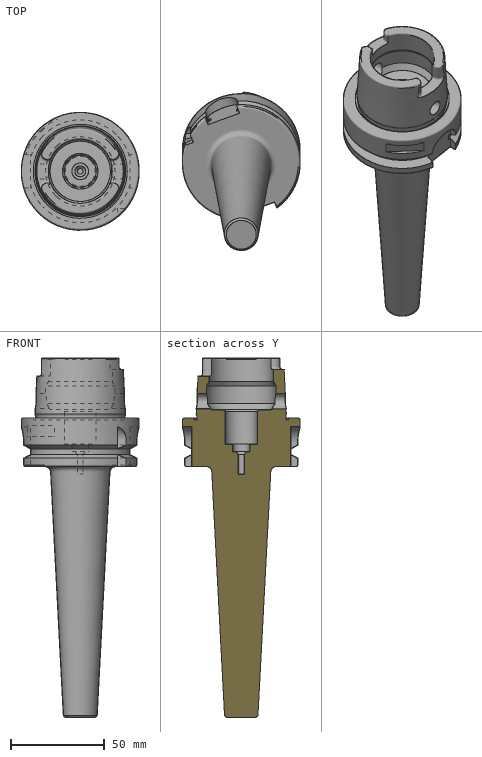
import cadquery as cq
import math


SHANK_LENGTH = 32.0
GAUGE_RADIUS = 24.005
GAUGE_HEIGHT = 6.3
TAPER_PER_MM = 1 / 19.96
SHANK_EDGE_RADIUS = 0.8
BLANK_RADIUS = 27.0
RELIEF_TOP = 2.1
RELIEF_STEP = 1.0
RELIEF_DEPTH = 0.3
FACE_GROOVE_RADIUS = 25.1
FACE_GROOVE_DEPTH = 1.0

FLANGE_RADIUS = 31.5
FLANGE_WIDTH = 26.0
FLANGE_EDGE_RADIUS = 1.0
GROOVE_CENTRE = -18.0
GROOVE_WIDTH = 7.0
GROOVE_FLANK_END_WIDTH = 3.4
GROOVE_ROOT_WIDTH = 2.9
GROOVE_ROOT_RADIUS = 27.5
GROOVE_FLANK_ANGLE = 30.0

TOTAL_LENGTH = 192.0
NOSE_TIP_RADIUS = 9.0
NOSE_ANGLE = 3.0
NOSE_ROOT_RADIUS = 3.0
NOSE_EDGE_CHAMFER = 1.0

BORE_RADIUS = 17.1
BORE_END = 19.4
UNDERCUT_RADIUS = 18.5
UNDERCUT_START = 17.0
UNDERCUT_END = 7.8
FLOOR_RADIUS = 16.1
FLOOR_HEIGHT = 4.5
THREAD_RADIUS = 8.5
THREAD_CHAMFER = 1.0
THREAD_END = -14.0
POCKET_RADIUS = 4.45
POCKET_END = -18.0
COOLANT_COUNTERSINK_RADIUS = 2.9
COOLANT_RADIUS = 1.5
COOLANT_END = -30.0

DRIVE_SLOT_WIDTH = 12.3
DRIVE_SLOT_DEPTHS = {-1: 9.7, 1: 6.0}
DRIVE_CORNER_RADIUS = 3.3
DRIVE_TANGENT_RADIUS = 23.12
DRIVE_FLOOR_RADIUS = 1.4
DRIVE_INNER_X = 8.0
DRIVE_OUTER_X = 30.0
DRIVE_TANGENT_RUN = 6.0

CROSS_HOLE_DIAMETER = 8.0
CROSS_HOLE_HEIGHT = 9.0

KEYWAY_WIDTH = 18.0
KEYWAY_TOP = -4.7
KEYWAY_FLOOR = 26.5
NOTCH_WIDTH = 16.0
NOTCH_WALL_Y = -19.8
NOTCH_TOP = -3.9
NOTCH_FLOOR = 20.0

FLAT_HEIGHT = 6.0
FLAT_CENTRE_Z = -6.9
FLAT_DISTANCE = 29.8
FLAT_DIRECTION = 135.0

JOINT_OVERLAP = 8.0
CLEARANCE = 5.0


def shank_radius(z):
    return GAUGE_RADIUS + (GAUGE_HEIGHT - z) * TAPER_PER_MM


def revolve_profile(profile):
    """Turn a closed (radius, height) outline about the Z axis."""
    return profile.close().revolve(360, (0, 0, 0), (0, 1, 0))


def make_shank_envelope():
    """Solid outside form of the shank, with its rim rounded."""
    relief_radius = shank_radius(RELIEF_TOP) - RELIEF_DEPTH
    envelope = revolve_profile(
        cq.Workplane("XZ")
        .moveTo(0, -JOINT_OVERLAP)
        .lineTo(relief_radius, -JOINT_OVERLAP)
        .lineTo(relief_radius, RELIEF_STEP)
        .lineTo(shank_radius(RELIEF_TOP), RELIEF_TOP)
        .lineTo(shank_radius(SHANK_LENGTH), SHANK_LENGTH)
        .lineTo(0, SHANK_LENGTH)
    )
    return envelope.faces(">Z").edges().fillet(SHANK_EDGE_RADIUS)


def make_shank():
    """Slots and bore are cut and rounded in an oversize blank, which is then turned to its outside form."""
    blank = (
        cq.Workplane("XY")
        .workplane(offset=-JOINT_OVERLAP)
        .circle(BLANK_RADIUS)
        .extrude(JOINT_OVERLAP + SHANK_LENGTH)
        .cut(make_bore())
    )
    for side, depth in DRIVE_SLOT_DEPTHS.items():
        blank = blank.cut(make_drive_slot(side, depth))
    blank = blank.faces(">Z").edges().fillet(SHANK_EDGE_RADIUS)
    return blank.intersect(make_shank_envelope())


def make_flange():
    disc = (
        cq.Workplane("XY")
        .circle(FLANGE_RADIUS)
        .extrude(-FLANGE_WIDTH)
        .edges()
        .fillet(FLANGE_EDGE_RADIUS)
    )
    face_groove = (
        cq.Workplane("XY")
        .circle(FACE_GROOVE_RADIUS)
        .extrude(-FACE_GROOVE_DEPTH)
    )
    return disc.cut(face_groove).cut(make_gripper_groove())


def make_gripper_groove():
    flank_depth = (GROOVE_WIDTH - GROOVE_FLANK_END_WIDTH) / 2 / math.tan(math.radians(GROOVE_FLANK_ANGLE))
    flank_end = FLANGE_RADIUS - flank_depth
    rim = FLANGE_RADIUS + CLEARANCE
    upper_root = GROOVE_CENTRE + GROOVE_ROOT_WIDTH / 2
    lower_root = GROOVE_CENTRE - GROOVE_ROOT_WIDTH / 2
    upper_flank = GROOVE_CENTRE + GROOVE_FLANK_END_WIDTH / 2
    lower_flank = GROOVE_CENTRE - GROOVE_FLANK_END_WIDTH / 2
    upper_rim = GROOVE_CENTRE + GROOVE_WIDTH / 2
    lower_rim = GROOVE_CENTRE - GROOVE_WIDTH / 2
    return revolve_profile(
        cq.Workplane("XZ")
        .moveTo(GROOVE_ROOT_RADIUS, upper_root)
        .lineTo(flank_end, upper_flank)
        .lineTo(FLANGE_RADIUS, upper_rim)
        .lineTo(rim, upper_rim)
        .lineTo(rim, lower_rim)
        .lineTo(FLANGE_RADIUS, lower_rim)
        .lineTo(flank_end, lower_flank)
        .lineTo(GROOVE_ROOT_RADIUS, lower_root)
    )


def make_nose():
    tip_z = SHANK_LENGTH - TOTAL_LENGTH
    fillet_end_z = -FLANGE_WIDTH - NOSE_ROOT_RADIUS
    slope = math.tan(math.radians(NOSE_ANGLE))
    root_radius = NOSE_TIP_RADIUS + (fillet_end_z - tip_z) * slope
    chamfer_radius = NOSE_TIP_RADIUS + NOSE_EDGE_CHAMFER * slope
    arc_shift = NOSE_ROOT_RADIUS * (1 - math.sqrt(0.5))
    return revolve_profile(
        cq.Workplane("XZ")
        .moveTo(0, tip_z)
        .lineTo(NOSE_TIP_RADIUS - NOSE_EDGE_CHAMFER, tip_z)
        .lineTo(chamfer_radius, tip_z + NOSE_EDGE_CHAMFER)
        .lineTo(root_radius, fillet_end_z)
        .threePointArc(
            (root_radius + arc_shift, -FLANGE_WIDTH - arc_shift),
            (root_radius + NOSE_ROOT_RADIUS, -FLANGE_WIDTH),
        )
        .lineTo(root_radius + NOSE_ROOT_RADIUS, -FLANGE_WIDTH + JOINT_OVERLAP)
        .lineTo(0, -FLANGE_WIDTH + JOINT_OVERLAP)
    )


def make_bore():
    countersink = COOLANT_COUNTERSINK_RADIUS - COOLANT_RADIUS
    return revolve_profile(
        cq.Workplane("XZ")
        .moveTo(0, SHANK_LENGTH)
        .lineTo(BORE_RADIUS, SHANK_LENGTH)
        .lineTo(BORE_RADIUS, BORE_END)
        .lineTo(UNDERCUT_RADIUS, UNDERCUT_START)
        .lineTo(UNDERCUT_RADIUS, UNDERCUT_END)
        .lineTo(FLOOR_RADIUS, FLOOR_HEIGHT)
        .lineTo(THREAD_RADIUS + THREAD_CHAMFER, FLOOR_HEIGHT)
        .lineTo(THREAD_RADIUS, FLOOR_HEIGHT - THREAD_CHAMFER)
        .lineTo(THREAD_RADIUS, THREAD_END)
        .lineTo(POCKET_RADIUS, THREAD_END)
        .lineTo(POCKET_RADIUS, POCKET_END)
        .lineTo(COOLANT_COUNTERSINK_RADIUS, POCKET_END)
        .lineTo(COOLANT_RADIUS, POCKET_END - countersink)
        .lineTo(COOLANT_RADIUS, COOLANT_END)
        .lineTo(0, COOLANT_END)
    )


def make_drive_slot(side, depth):
    """Rim slot along X whose walls roll outwards until they run along the shank surface."""
    half_width = DRIVE_SLOT_WIDTH / 2
    corner_y = half_width + DRIVE_CORNER_RADIUS
    corner_distance = DRIVE_TANGENT_RADIUS - DRIVE_CORNER_RADIUS
    corner_x = math.sqrt(corner_distance**2 - corner_y**2)
    end_angle = math.atan2(corner_y, corner_x)
    middle_angle = (end_angle - math.pi / 2) / 2

    def on_corner(angle):
        return (
            corner_x + DRIVE_CORNER_RADIUS * math.cos(angle),
            corner_y + DRIVE_CORNER_RADIUS * math.sin(angle),
        )

    def mirrored(point):
        return (point[0], -point[1])

    wall_end = (corner_x, half_width)
    arc_middle = on_corner(middle_angle)
    arc_end = on_corner(end_angle)
    run_end = (
        arc_end[0] - DRIVE_TANGENT_RUN * math.sin(end_angle),
        arc_end[1] + DRIVE_TANGENT_RUN * math.cos(end_angle),
    )
    outer_corner = (DRIVE_OUTER_X, run_end[1])
    slot = (
        cq.Workplane("XY")
        .workplane(offset=SHANK_LENGTH - depth)
        .moveTo(DRIVE_INNER_X, half_width)
        .lineTo(*wall_end)
        .threePointArc(arc_middle, arc_end)
        .lineTo(*run_end)
        .lineTo(*outer_corner)
        .lineTo(*mirrored(outer_corner))
        .lineTo(*mirrored(run_end))
        .lineTo(*mirrored(arc_end))
        .threePointArc(mirrored(arc_middle), mirrored(wall_end))
        .lineTo(DRIVE_INNER_X, -half_width)
        .close()
        .extrude(depth + CLEARANCE)
        .faces("<Z")
        .edges()
        .fillet(DRIVE_FLOOR_RADIUS)
    )
    return slot if side > 0 else slot.rotate((0, 0, 0), (0, 0, 1), 180)


def make_arched_cut(side, centre_y, width, top_z, floor_x):
    """Round-topped cut running down through the flange, open towards +X or -X."""
    radius = width / 2
    arch_z = top_z - radius
    bottom_z = -FLANGE_WIDTH
    reach = FLANGE_RADIUS + CLEARANCE - floor_x
    return (
        cq.Workplane("YZ")
        .workplane(offset=side * floor_x)
        .moveTo(centre_y - radius, bottom_z)
        .lineTo(centre_y - radius, arch_z)
        .threePointArc((centre_y, top_z), (centre_y + radius, arch_z))
        .lineTo(centre_y + radius, bottom_z)
        .close()
        .extrude(side * reach)
    )


def make_rim_flat():
    return (
        cq.Workplane("XY")
        .box(CLEARANCE, FLANGE_RADIUS, FLAT_HEIGHT)
        .translate((FLAT_DISTANCE + CLEARANCE / 2, 0, FLAT_CENTRE_Z))
        .rotate((0, 0, 0), (0, 0, 1), FLAT_DIRECTION)
    )


def make_cross_hole():
    return (
        cq.Workplane("YZ")
        .center(0, CROSS_HOLE_HEIGHT)
        .circle(CROSS_HOLE_DIAMETER / 2)
        .extrude(FLANGE_RADIUS, both=True)
    )


flange = make_flange()
for keyway_side in (-1, 1):
    flange = flange.cut(make_arched_cut(keyway_side, 0, KEYWAY_WIDTH, KEYWAY_TOP, KEYWAY_FLOOR))
notch_centre_y = NOTCH_WALL_Y - NOTCH_WIDTH / 2
flange = flange.cut(make_arched_cut(1, notch_centre_y, NOTCH_WIDTH, NOTCH_TOP, NOTCH_FLOOR))
flange = flange.cut(make_rim_flat())

result = make_shank().union(flange).union(make_nose()).cut(make_bore()).cut(make_cross_hole())